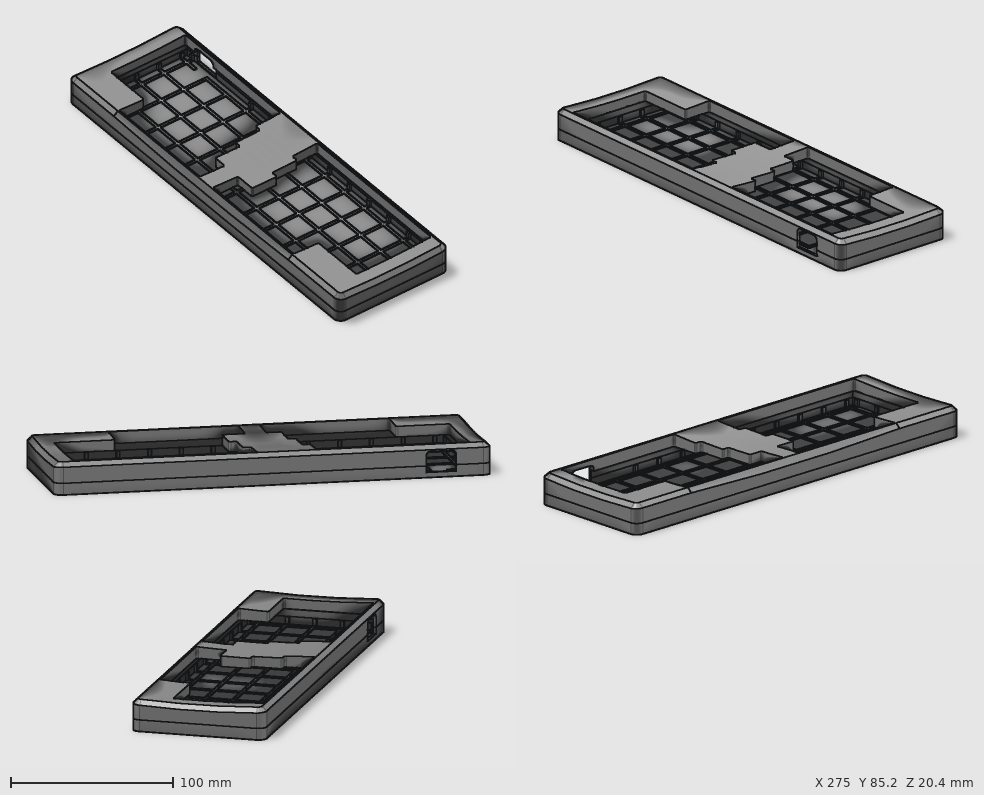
import cadquery as cq

LENGTH = 275.0
DEPTH = 85.2
PEAK_Z = 20.4
ABOVE_TOP = PEAK_Z + 2.8
SPLIT_Z = 7.5
CORNER_RADIUS = 5.2
RIM_CHAMFER = 3.0

DISH_SAG = 1.25
FRONT_DROP = 0.4
RIM_Y = DEPTH / 2 - RIM_CHAMFER

CAVITY_X = 125.7
CAVITY_Y = 40.7
FLOOR_Z = 2.5
DECK_Z = 12.5

KEY_UNIT = 19.2
OPENING_X = 124.5
ROW_COUNT = 4
OPENING_Y = ROW_COUNT * KEY_UNIT / 2
LEFT_ROW_ENDS = (5, 5.25, 5.5, 6)
RIGHT_ROW_ENDS = (6, 5.75, 5.5, 6.25)
LEFT_CORNER_BLOCK = 1.75
RIGHT_CORNER_BLOCK = 2
OPENING_FILLET = 1.0

HOLLOW_DIP = 2.0
HOLLOW_LEFT = -OPENING_X + LEFT_CORNER_BLOCK * KEY_UNIT
HOLLOW_RIGHT = OPENING_X - RIGHT_CORNER_BLOCK * KEY_UNIT

RIB_WIDTH = 2.2
RIB_HEIGHT = 0.5
COLUMN_RIBS = 13
COLUMN_SPAN = 239.5
ROW_RIBS = 5
ROW_SPAN = 70.5
GRID_CENTRE_Y = 0.8
COLUMN_PITCH = COLUMN_SPAN / (COLUMN_RIBS - 1)
ROW_PITCH = ROW_SPAN / (ROW_RIBS - 1)
LEFT_RIB_X = -COLUMN_SPAN / 2
BACK_RIB_Y = GRID_CENTRE_Y + ROW_SPAN / 2
POST_TIP_X = 124.0
POST_TIP_Y = 39.0

PORT_X = -106.0
PORT_WIDTH = 19.0
PORT_SILL_Z = 3.3
PORT_TOP_Z = 16.5
PORT_RADIUS = 3.0

CLEARANCE_LEFT = -111.0
CLEARANCE_RIGHT = -62.0


def box(x0, x1, y0, y1, z0, z1):
    """Axis-aligned box between two opposite corners."""
    return cq.Workplane("XY").box(x1 - x0, y1 - y0, z1 - z0, centered=False).translate((x0, y0, z0))


def tray_block():
    """Solid tray blank with rounded vertical corners."""
    block = box(-LENGTH / 2, LENGTH / 2, -DEPTH / 2, DEPTH / 2, 0, SPLIT_Z)
    return block.edges("|Z").fillet(CORNER_RADIUS)


def cavity(z0, z1):
    """Cutter for the inside of the case between two heights."""
    return box(-CAVITY_X, CAVITY_X, -CAVITY_Y, CAVITY_Y, z0, z1)


def dish_height(y):
    """Height of the dished top at a given Y."""
    across = y / RIM_Y
    return PEAK_Z - FRONT_DROP * (1 - across) / 2 - DISH_SAG * (1 - across**2)


def dished_block():
    """Solid bezel blank with its dished top and chamfered rim."""
    front, back = -DEPTH / 2, DEPTH / 2
    profile = (
        cq.Workplane("YZ", origin=(-LENGTH / 2, 0, 0))
        .moveTo(front, SPLIT_Z)
        .lineTo(front, dish_height(front))
        .threePointArc((0, dish_height(0)), (back, dish_height(back)))
        .lineTo(back, SPLIT_Z)
        .close()
        .extrude(LENGTH)
    )
    blank = profile.edges("|Z").fillet(CORNER_RADIUS)
    return blank.faces(">Z").edges().chamfer(RIM_CHAMFER)


def front_hollow():
    """Cutter that deepens the front chamfer: straight along its top edge, bowed along its bottom edge."""
    middle = (HOLLOW_LEFT + HOLLOW_RIGHT) / 2
    upper_z = dish_height(-RIM_Y)
    lower_z = dish_height(-DEPTH / 2) - RIM_CHAMFER
    inner = (
        cq.Workplane("XZ", origin=(0, -RIM_Y, 0))
        .moveTo(HOLLOW_LEFT, upper_z)
        .lineTo(HOLLOW_RIGHT, upper_z)
        .lineTo(HOLLOW_RIGHT, ABOVE_TOP)
        .lineTo(HOLLOW_LEFT, ABOVE_TOP)
        .close()
    )
    outer = (
        cq.Workplane("XZ", origin=(0, -DEPTH / 2, 0))
        .moveTo(HOLLOW_LEFT, lower_z)
        .threePointArc((middle, lower_z - HOLLOW_DIP), (HOLLOW_RIGHT, lower_z))
        .lineTo(HOLLOW_RIGHT, ABOVE_TOP)
        .lineTo(HOLLOW_LEFT, ABOVE_TOP)
        .close()
    )
    return cq.Workplane(cq.Solid.makeLoft([inner.val(), outer.val()], True))


def key_opening(side, row_ends, corner_block):
    """Stepped opening for one half of the keys; side is -1 for left and 1 for right."""
    opening = None
    for row, end in enumerate(row_ends):
        start = corner_block if row == ROW_COUNT - 1 else 0
        edges = sorted(side * (OPENING_X - units * KEY_UNIT) for units in (start, end))
        back = OPENING_Y - row * KEY_UNIT
        slot = box(*edges, back - KEY_UNIT, back, DECK_Z, ABOVE_TOP)
        opening = slot if opening is None else opening.union(slot)
    return opening.clean().edges("|Z").fillet(OPENING_FILLET)


def connector_port():
    """Opening through the back wall, just above the floor, with rounded corners at the top."""
    left = PORT_X - PORT_WIDTH / 2
    right = PORT_X + PORT_WIDTH / 2
    port = box(left, right, OPENING_Y, DEPTH / 2, PORT_SILL_Z, PORT_TOP_Z)
    return port.edges("|Y and >Z").fillet(PORT_RADIUS)


def rib_grid():
    """Low ribs across the floor, each rising into a post at both of its ends."""
    half = RIB_WIDTH / 2
    low_z = FLOOR_Z + RIB_HEIGHT
    tips = box(-POST_TIP_X, POST_TIP_X, -POST_TIP_Y, POST_TIP_Y, low_z, SPLIT_Z)
    grid = None
    for column in range(COLUMN_RIBS):
        x = LEFT_RIB_X + column * COLUMN_PITCH
        rib = box(x - half, x + half, -CAVITY_Y, CAVITY_Y, FLOOR_Z, SPLIT_Z)
        grid = rib if grid is None else grid.union(rib)
    for row in range(ROW_RIBS):
        y = BACK_RIB_Y - row * ROW_PITCH
        grid = grid.union(box(-CAVITY_X, CAVITY_X, y - half, y + half, FLOOR_Z, SPLIT_Z))
    return grid.cut(tips)


def connector_clearance():
    """Space behind the back rib, plus a gap in that rib in front of the connector."""
    half = RIB_WIDTH / 2
    strip = box(CLEARANCE_LEFT, CLEARANCE_RIGHT, BACK_RIB_Y + half, CAVITY_Y, FLOOR_Z, SPLIT_Z)
    gap_right = LEFT_RIB_X + COLUMN_PITCH - half
    gap = box(CLEARANCE_LEFT, gap_right, BACK_RIB_Y - half, CAVITY_Y, FLOOR_Z, SPLIT_Z)
    return strip.union(gap)


def make_tray():
    tray = tray_block().cut(cavity(FLOOR_Z, SPLIT_Z))
    tray = tray.union(rib_grid().cut(connector_clearance()))
    return tray.cut(connector_port())


def make_bezel():
    bezel = dished_block().cut(front_hollow()).cut(cavity(SPLIT_Z, DECK_Z))
    bezel = bezel.cut(key_opening(-1, LEFT_ROW_ENDS, LEFT_CORNER_BLOCK))
    bezel = bezel.cut(key_opening(1, RIGHT_ROW_ENDS, RIGHT_CORNER_BLOCK))
    return bezel.cut(connector_port())


tray = make_tray()
bezel = make_bezel()

result = cq.Compound.makeCompound([tray.val(), bezel.val()])